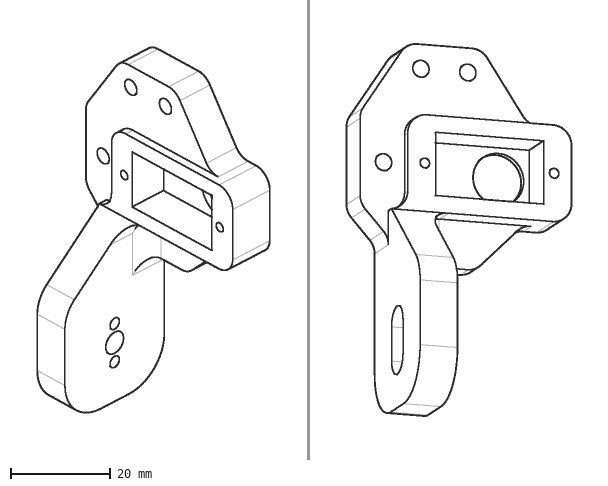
import cadquery as cq

corner_radius = 4.0

plate_height = 77.0
plate_width = 35.95
plate_thickness = 8.5
web_thickness = 5.0
plate_bottom = 31.95
top_chamfer_width = 10.0
bottom_chamfer_width = 10.2
left_bottom_corner = 43.2
screw_diameter = 3.5
screw_spacing = 10.0
top_screw_drop = 5.1
side_screw_x = 5.0

housing_left = 9.5
housing_right = 44.4
housing_height = 20.0
housing_middle = 52.0
housing_depth = 10.5
housing_bottom = housing_middle - housing_height / 2
housing_top = housing_middle + housing_height / 2
pocket_left = 15.4
pocket_width = 23.0
pocket_height = 13.1
pocket_floor = 1.6
shaft_diameter = 10.8
shaft_x = 31.9
pilot_diameter = 2.0
pilot_spacing = 27.6
pilot_depth = 7.7

arm_left = 6.0
arm_width = 8.0
arm_right = arm_left + arm_width
arm_depth = 28.0
arm_shoulder = 26.95
shoulder_radius = 7.7
arm_bottom_radius = 10.0
slot_width = 7.0
slot_length = 14.1
slot_depth = 3.0
slot_z = 14.0
pivot_diameter = 5.0
pin_diameter = 2.6
pin_offset = 4.55


def extrude_forward(outline, depth):
    """Extrude an XZ outline from the back face towards -Y."""
    return cq.Workplane("XZ").polyline(outline).close().extrude(depth)


def round_corners(body, axis, corners, radius):
    """Fillet the edges parallel to an axis that lie nearest the given points."""
    for corner in corners:
        body = body.edges("|" + axis).edges(cq.selectors.NearestToPointSelector(corner)).fillet(radius)
    return body


def make_plate():
    """Faceted plate with a tab on the right that carries the housing.

    Right of the arm and below the housing it thins to a web.
    """
    slope = (left_bottom_corner - plate_bottom) / bottom_chamfer_width
    stem_bottom = plate_bottom - 2 * corner_radius
    arm_joint = left_bottom_corner - slope * arm_left
    outline = [
        (0, left_bottom_corner),
        (0, housing_top),
        (top_chamfer_width, plate_height),
        (plate_width - top_chamfer_width, plate_height),
        (plate_width, housing_top),
        (housing_right, housing_top),
        (housing_right, housing_bottom),
        (plate_width, housing_bottom),
        (plate_width - bottom_chamfer_width, plate_bottom),
        (arm_right, plate_bottom),
        (arm_right, stem_bottom),
        (arm_left, stem_bottom),
        (arm_left, arm_joint),
    ]
    body = extrude_forward(outline, plate_thickness)
    corners = [(x, -plate_thickness / 2, z) for x, z in outline if z != stem_bottom]
    body = round_corners(body, "Y", corners, corner_radius)
    recess = (
        cq.Workplane("XZ", origin=(0, -web_thickness, 0))
        .moveTo(arm_right, 0)
        .lineTo(housing_right, 0)
        .lineTo(housing_right, housing_bottom)
        .lineTo(arm_right, housing_bottom)
        .close()
        .extrude(plate_thickness)
    )
    return body.cut(recess)


def make_housing():
    """Raised rim, flared at its lower left where it runs into the arm."""
    width = housing_right - housing_left
    rim = (
        cq.Workplane("XZ")
        .center(housing_left + width / 2, housing_middle)
        .rect(width, housing_height)
        .extrude(housing_depth)
    )
    rim = rim.edges("|Y and >X").fillet(corner_radius)
    rim = rim.edges("|Y and <X and >Z").fillet(corner_radius)
    flare_width = housing_left - arm_left
    flare = (
        cq.Workplane("XZ")
        .rect(flare_width, corner_radius, centered=False)
        .extrude(housing_depth)
        .translate((arm_left, 0, housing_bottom))
    )
    flare_round = (
        cq.Workplane("XZ")
        .center(housing_left - corner_radius, housing_bottom + corner_radius)
        .circle(corner_radius)
        .extrude(housing_depth)
    )
    return rim.union(flare.cut(flare_round))


def make_arm():
    """Hanging arm with round blends into the housing underside, the web and the plate bottom."""
    blend_right = arm_right + corner_radius
    side_outline = [
        (0, 0),
        (-arm_depth, 0),
        (-arm_depth, arm_shoulder),
        (-housing_depth, housing_bottom),
        (0, housing_bottom),
    ]
    side = cq.Workplane("YZ", origin=(arm_left, 0, 0)).polyline(side_outline).close()
    body = side.extrude(blend_right - arm_left)
    middle = (arm_left + blend_right) / 2
    body = round_corners(body, "X", [(middle, 0, 0), (middle, -arm_depth, 0)], arm_bottom_radius)
    body = round_corners(body, "X", [(middle, -arm_depth, arm_shoulder)], shoulder_radius)
    plan = (
        cq.Workplane("XY")
        .moveTo(arm_left, 0)
        .lineTo(blend_right, 0)
        .lineTo(blend_right, -web_thickness)
        .radiusArc((arm_right, -web_thickness - corner_radius), -corner_radius)
        .lineTo(arm_right, -arm_depth)
        .lineTo(arm_left, -arm_depth)
        .close()
        .extrude(plate_height)
    )
    front_with_bottom_blend = (
        cq.Workplane("XZ")
        .moveTo(arm_left, 0)
        .lineTo(arm_right, 0)
        .lineTo(arm_right, plate_bottom - corner_radius)
        .radiusArc((blend_right, plate_bottom), corner_radius)
        .lineTo(blend_right, housing_bottom)
        .lineTo(arm_left, housing_bottom)
        .close()
        .extrude(arm_depth)
    )
    front_with_top_blend = (
        cq.Workplane("XZ")
        .moveTo(arm_left, 0)
        .lineTo(arm_right, 0)
        .lineTo(arm_right, housing_bottom - corner_radius)
        .radiusArc((blend_right, housing_bottom), corner_radius)
        .lineTo(arm_left, housing_bottom)
        .close()
        .extrude(arm_depth)
    )
    web_part = body.intersect(plan).intersect(front_with_bottom_blend)
    housing_part = body.intersect(front_with_top_blend)
    return web_part.union(housing_part)


def cut_plate_openings(body):
    """Screw holes, motor pocket, shaft hole and blind pilot holes."""
    top_screw_z = plate_height - top_screw_drop
    screws = [
        (plate_width / 2 - screw_spacing / 2, top_screw_z),
        (plate_width / 2 + screw_spacing / 2, top_screw_z),
        (side_screw_x, housing_middle),
    ]
    back = cq.Workplane("XZ")
    front = cq.Workplane("XZ", origin=(0, -housing_depth, 0))
    pocket_x = pocket_left + pocket_width / 2
    pilots = [(pocket_x + side * pilot_spacing / 2, housing_middle) for side in (-1, 1)]
    body = body.cut(back.pushPoints(screws).circle(screw_diameter / 2).extrude(housing_depth))
    body = body.cut(back.center(shaft_x, housing_middle).circle(shaft_diameter / 2).extrude(housing_depth))
    pocket = front.center(pocket_x, housing_middle).rect(pocket_width, pocket_height)
    body = body.cut(pocket.extrude(pocket_floor - housing_depth))
    return body.cut(front.pushPoints(pilots).circle(pilot_diameter / 2).extrude(-pilot_depth))


def cut_arm_openings(body):
    """Vertical slot recessed in the left face with a pivot hole and two pin holes."""
    face = cq.Workplane("YZ", origin=(arm_left, -arm_depth / 2, slot_z))
    body = body.cut(face.slot2D(slot_length, slot_width, 90).extrude(slot_depth))
    body = body.cut(face.circle(pivot_diameter / 2).extrude(arm_width))
    pins = [(0, -pin_offset), (0, pin_offset)]
    return body.cut(face.pushPoints(pins).circle(pin_diameter / 2).extrude(arm_width))


bracket = make_plate().union(make_housing()).union(make_arm())
result = cut_arm_openings(cut_plate_openings(bracket)).clean()